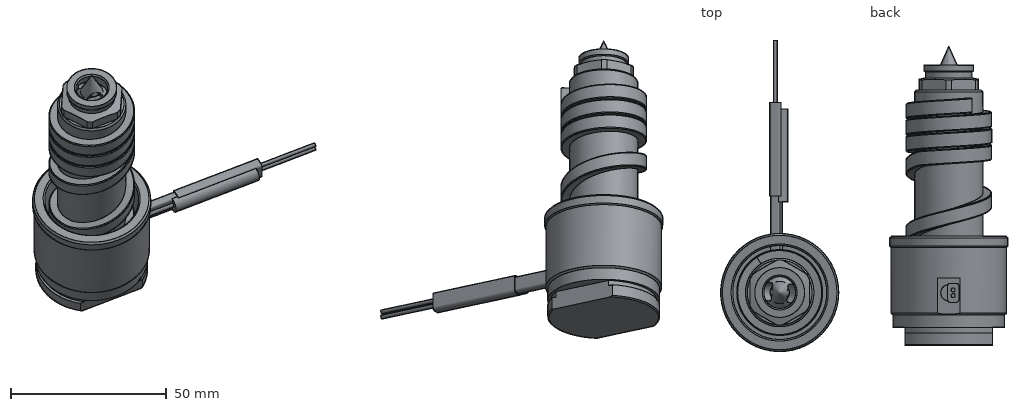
import cadquery as cq
import math

foot_top = 4.1
foot_neck_top = 5.9
collar_top = 9.9
sleeve_bottom = 10.5
rim_bottom = 32.0
sleeve_top = 35.2
core_top = 82.2
hex_top = 85.4
head_cone_top = 86.1
head_neck_top = 88.0
head_bottom = 88.3
head_top = 90.2
tip_top = 96.2

foot_radius = 18.0
foot_neck_radius = 17.1
foot_flat_offset = 14.1
sleeve_radius = 18.6
rim_radius = 19.0
cavity_radius = 15.1
core_radius = 11.0
hex_radius = 10.5
head_radius = 8.0
head_neck_radius = 7.5
bore_radius = 5.1
tip_radius = 3.6

foot_chamfer = 0.4
rim_chamfer = 0.6
cavity_chamfer = 0.5
core_chamfer = 0.6

cavity_floor = 12.0
notch_width = 7.2
notch_flat_y = 18.2
notch_top = 21.7

hex_across_flats = 19.0
hex_turn = 30.0

bore_chamfer = 0.5
bore_floor = 86.6
tip_base = 88.2
flow_radius = 3.0
flow_length = 5.0
flow_tilt = 45.0
flow_heading = -5.0
flow_start_offset = 4.4
flow_start_height = 87.9

coil_radius = 13.8
coil_height = 4.8
coil_chamfer = 0.3
coil_overlap = 0.6
lower_pitch = 12.0
lower_turns = 1.25
lower_joint_angle = -60.0
lower_joint_height = 32.4
steep_pitch = 21.5
upper_joint_angle = 45.0
steep_turns = 1 + (upper_joint_angle - lower_joint_angle) / 360
upper_joint_height = lower_joint_height + steep_pitch * steep_turns
close_pitch = 5.3
coil_end_angle = 123.0
close_turns = 3 + (coil_end_angle - upper_joint_angle) / 360

cable_height = 17.0
cable_end = 81.0
cable_root = core_radius - coil_overlap
strip_x = -1.4
strip_width = 3.0
strip_height = 5.2
strip_fillet = 0.7
plug_x = -1.4
plug_width = 3.7
plug_height = 6.1
plug_fillet = 0.9
plug_start = 31.0
plug_end = 61.1
wire_radius = 0.65
wire_spacing = 1.8
sensor_lead_radius = 0.9
sensor_radius = 2.6
sensor_start = 29.1
sensor_end = 59.0


def cylinder(radius, bottom, top):
    return cq.Workplane("XY").workplane(offset=bottom).circle(radius).extrude(top - bottom)


def revolve_profile(points):
    """Turn a closed outline of (radius, height) points about the Z axis."""
    return cq.Workplane("XZ").polyline(points).close().revolve(360, (0, 0), (0, 1))


def make_foot():
    """Grooved round foot with two flats facing -X and +X."""
    foot = revolve_profile([
        (0, 0),
        (foot_radius - foot_chamfer, 0),
        (foot_radius, foot_chamfer),
        (foot_radius, foot_top),
        (foot_neck_radius, foot_top),
        (foot_neck_radius, foot_neck_top),
        (0, foot_neck_top),
    ])
    between_flats = cq.Workplane("XY").box(
        2 * foot_flat_offset, 2 * rim_radius, foot_neck_top, centered=(True, True, False)
    )
    return foot.intersect(between_flats)


def make_sleeve():
    """Collar and sleeve with an open annular cavity and a notch for the cable."""
    rim_step = rim_radius - sleeve_radius
    sleeve = revolve_profile([
        (0, foot_neck_top),
        (foot_radius, foot_neck_top),
        (foot_radius, collar_top),
        (sleeve_radius, sleeve_bottom),
        (sleeve_radius, rim_bottom - rim_step),
        (rim_radius, rim_bottom),
        (rim_radius, sleeve_top - rim_chamfer),
        (rim_radius - rim_chamfer, sleeve_top),
        (cavity_radius + cavity_chamfer, sleeve_top),
        (cavity_radius, sleeve_top - cavity_chamfer),
        (cavity_radius, cavity_floor),
        (0, cavity_floor),
    ])
    notch = cq.Workplane("XY").box(
        notch_width, rim_radius, notch_top - collar_top, centered=(True, False, False)
    )
    return sleeve.cut(notch.translate((0, notch_flat_y, collar_top)))


def make_core():
    return cylinder(core_radius, cavity_floor, core_top).faces(">Z").chamfer(core_chamfer)


def make_hexagon():
    """Hexagon with rounded corners, facing flats towards -X and +X."""
    across_corners = hex_across_flats / math.cos(math.pi / 6)
    hexagon = (
        cq.Workplane("XY")
        .workplane(offset=core_top)
        .transformed(rotate=(0, 0, hex_turn))
        .polygon(6, across_corners)
        .extrude(head_cone_top - core_top)
    )
    envelope = revolve_profile([
        (0, core_top),
        (hex_radius, core_top),
        (hex_radius, hex_top),
        (head_neck_radius, head_cone_top),
        (0, head_cone_top),
    ])
    return hexagon.intersect(envelope)


def make_head():
    """Grooved round head with a bore holding a conical tip."""
    return revolve_profile([
        (0, head_cone_top),
        (head_neck_radius, head_cone_top),
        (head_neck_radius, head_neck_top),
        (head_radius, head_bottom),
        (head_radius, head_top),
        (bore_radius + bore_chamfer, head_top),
        (bore_radius, head_top - bore_chamfer),
        (bore_radius, bore_floor),
        (tip_radius, tip_base),
        (0, tip_top),
    ])


def make_flow_holes():
    """Two opposed slanting holes that run from the bore down towards the axis."""
    heading = math.radians(flow_heading)
    tilt = math.radians(flow_tilt)
    holes = cq.Workplane("XY")
    for side in (1, -1):
        outward = cq.Vector(side * math.cos(heading), side * math.sin(heading), 0)
        start = outward * flow_start_offset + cq.Vector(0, 0, flow_start_height)
        direction = outward * -math.sin(tilt) + cq.Vector(0, 0, -math.cos(tilt))
        holes = holes.add(
            cq.Solid.makeCylinder(flow_radius, flow_length, start, direction)
        )
    return holes.combine()


def make_coil_run(start_angle, start_height, pitch, turns):
    """Flat heater band climbing from a start angle and height around the core."""
    half = coil_height / 2
    inner_radius = core_radius - coil_overlap
    path = cq.Wire.makeHelix(pitch, pitch * turns, coil_radius)
    run = (
        cq.Workplane("XZ")
        .polyline([
            (inner_radius, -half),
            (coil_radius - coil_chamfer, -half),
            (coil_radius, -half + coil_chamfer),
            (coil_radius, half - coil_chamfer),
            (coil_radius - coil_chamfer, half),
            (inner_radius, half),
        ])
        .close()
        .sweep(path, isFrenet=True)
    )
    return run.rotate((0, 0, 0), (0, 0, 1), start_angle).translate((0, 0, start_height))


def cable_bar(x, width, height, fillet, start, end):
    """Rectangular bar along Y with rounded long edges."""
    bar = cq.Workplane("XY").box(width, end - start, height).edges("|Y").fillet(fillet)
    return bar.translate((x, (start + end) / 2, cable_height))


def cable_rod(x, z, radius, start, end):
    return cq.Workplane(
        cq.Solid.makeCylinder(radius, end - start, cq.Vector(x, start, z), cq.Vector(0, 1, 0))
    )


def make_cable():
    """Flat lead, plug with two wires, and a round sensor plug on its own lead."""
    cable = cable_bar(strip_x, strip_width, strip_height, strip_fillet, cable_root, plug_start)
    cable = cable.union(
        cable_bar(plug_x, plug_width, plug_height, plug_fillet, plug_start, plug_end)
    )
    for side in (1, -1):
        wire_z = cable_height + side * wire_spacing / 2
        cable = cable.union(cable_rod(plug_x, wire_z, wire_radius, plug_start, cable_end))
    cable = cable.union(cable_rod(0, cable_height, sensor_lead_radius, cable_root, sensor_end))
    return cable.union(cable_rod(0, cable_height, sensor_radius, sensor_start, sensor_end))


def make_coil():
    """Heater coil in three runs: medium pitch in the cavity, steep, then closely wound."""
    lower_start_angle = lower_joint_angle - 360 * lower_turns
    lower_start_height = lower_joint_height - lower_pitch * lower_turns
    lower_run = make_coil_run(lower_start_angle, lower_start_height, lower_pitch, lower_turns)
    steep_run = make_coil_run(lower_joint_angle, lower_joint_height, steep_pitch, steep_turns)
    close_run = make_coil_run(upper_joint_angle, upper_joint_height, close_pitch, close_turns)
    return lower_run.union(steep_run).union(close_run)


result = make_foot().union(make_sleeve()).union(make_core())
result = result.union(make_hexagon()).union(make_head()).cut(make_flow_holes())
result = result.union(make_coil()).union(make_cable())